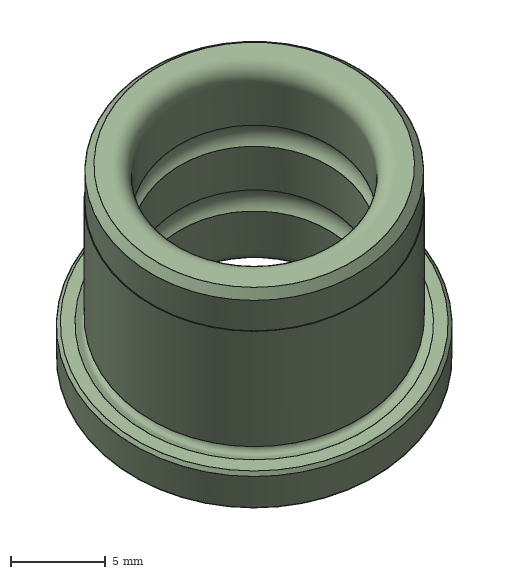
import cadquery as cq
import math

flange_radius = 10.5
total_height = 16.0
flange_height = 3.0
flange_chamfer = 0.2

body_radius = 9.03
lead_radius = 8.99
lead_height = 3.0
top_chamfer_width = 0.48
top_chamfer_height = 0.5

undercut_height = 0.5
undercut_cone_height = 0.4
undercut_rim_radius = 9.51
undercut_slope_width = 0.34
undercut_slope_drop = 0.17

bore_radius = 6.5
lip_radius = 1.0
lip_mid = lip_radius * (1 - math.sqrt(0.5))
groove_count = 2
groove_radius = 1.0
groove_depth = groove_radius / 2
groove_half_width = math.sqrt(groove_radius**2 - (groove_radius - groove_depth) ** 2)
groove_pitch = total_height / (groove_count + 1)


def make_outer_body():
    """Revolve the stepped outside, solid to the axis."""
    body_base = flange_height + undercut_height
    cone_end = (body_radius - undercut_cone_height, body_base - undercut_cone_height)
    profile = (
        cq.Workplane("XZ")
        .moveTo(0, 0)
        .lineTo(flange_radius - flange_chamfer, 0)
        .lineTo(flange_radius, flange_chamfer)
        .lineTo(flange_radius, flange_height - flange_chamfer)
        .lineTo(flange_radius - flange_chamfer, flange_height)
        .lineTo(undercut_rim_radius, flange_height)
        .lineTo(undercut_rim_radius - undercut_slope_width, flange_height - undercut_slope_drop)
        .tangentArcPoint(cone_end, relative=False)
        .lineTo(body_radius, body_base)
        .lineTo(body_radius, total_height - lead_height)
        .lineTo(lead_radius, total_height - lead_height)
        .lineTo(lead_radius, total_height - top_chamfer_height)
        .lineTo(lead_radius - top_chamfer_width, total_height)
        .lineTo(0, total_height)
        .close()
    )
    return profile.revolve(360, (0, 0, 0), (0, 1, 0))


def make_bore():
    """Revolve the bore volume, with a quarter round at both mouths and the grooves between."""
    mouth_radius = bore_radius + lip_radius
    profile = (
        cq.Workplane("XZ")
        .moveTo(0, 0)
        .lineTo(mouth_radius, 0)
        .threePointArc((bore_radius + lip_mid, lip_mid), (bore_radius, lip_radius))
    )
    for index in range(groove_count):
        level = (index + 1) * groove_pitch
        profile = profile.lineTo(bore_radius, level - groove_half_width).threePointArc(
            (bore_radius + groove_depth, level), (bore_radius, level + groove_half_width)
        )
    profile = (
        profile.lineTo(bore_radius, total_height - lip_radius)
        .threePointArc((bore_radius + lip_mid, total_height - lip_mid), (mouth_radius, total_height))
        .lineTo(0, total_height)
        .close()
    )
    return profile.revolve(360, (0, 0, 0), (0, 1, 0))


result = make_outer_body().cut(make_bore())